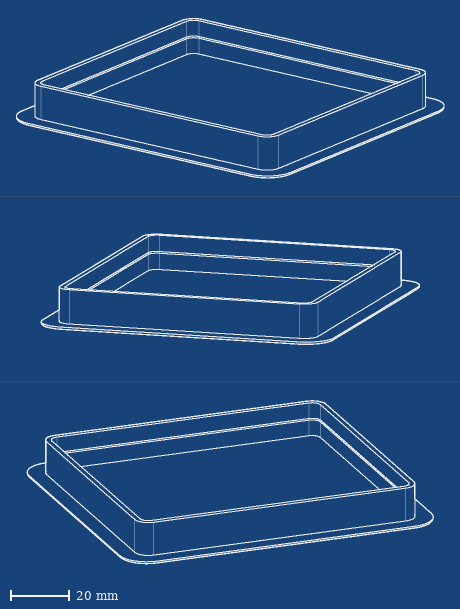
import cadquery as cq

flange_length = 115.0
flange_width = 105.0
flange_thickness = 1.0
flange_corner_radius = 10.0
flange_bottom_fillet = 0.9

total_height = 13.0
flange_overhang = 6.0
wall_corner_radius = 5.0
wall_thickness = 2.0

pocket_inset = flange_overhang + wall_thickness
pocket_corner_radius = wall_corner_radius - wall_thickness

groove_radius = 0.3
groove_centre_height = (flange_thickness + total_height) / 2


def rounded_block(inset, corner_radius, bottom, top):
    """Block with rounded upright corners, set in from the flange edge on every side."""
    return (
        cq.Workplane("XY")
        .workplane(offset=bottom)
        .rect(flange_length - 2 * inset, flange_width - 2 * inset)
        .extrude(top - bottom)
        .edges("|Z")
        .fillet(corner_radius)
    )


def make_flange():
    """Thin plate with its lower outer edge rounded."""
    plate = rounded_block(0, flange_corner_radius, 0, flange_thickness)
    return plate.faces("<Z").edges().fillet(flange_bottom_fillet)


def make_wall_block():
    """Solid block whose sides are the outside of the wall."""
    return rounded_block(flange_overhang, wall_corner_radius, 0, total_height)


def make_pocket():
    """Open-topped hollow reaching down to the top of the flange."""
    return rounded_block(pocket_inset, pocket_corner_radius, flange_thickness, total_height)


def make_groove():
    """Round rod following the inside face of the wall at groove height."""
    upper_pocket = rounded_block(
        pocket_inset, pocket_corner_radius, groove_centre_height, total_height
    )
    path = upper_pocket.faces("<Z").wires()
    inside_face_x = flange_length / 2 - pocket_inset
    section = cq.Workplane("XZ").center(inside_face_x, groove_centre_height).circle(groove_radius)
    return section.sweep(path)


result = make_flange().union(make_wall_block()).cut(make_pocket()).cut(make_groove())